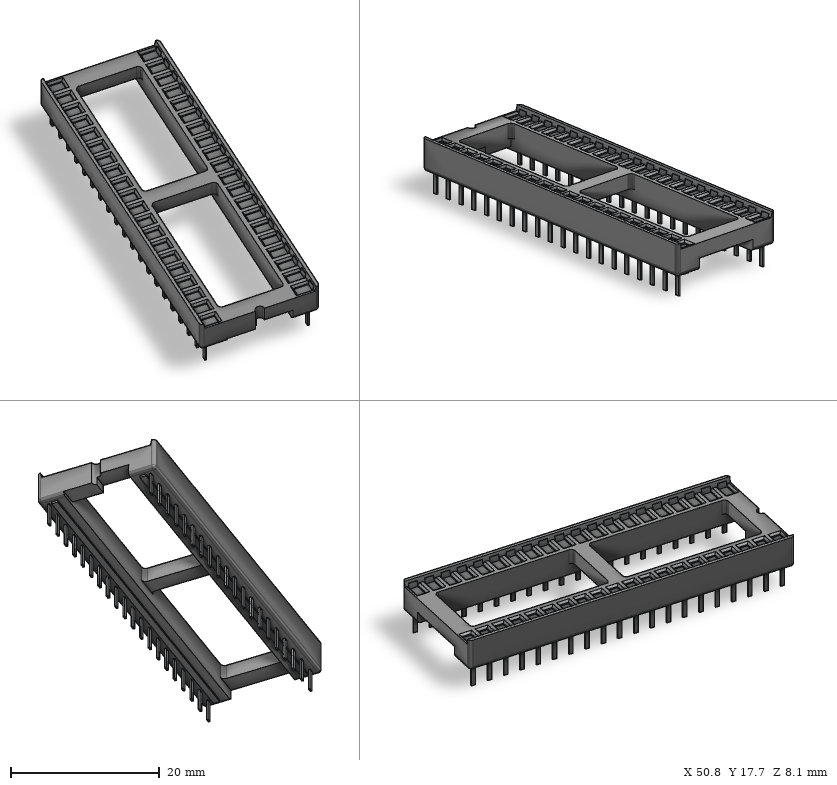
import cadquery as cq

LENGTH = 50.8
WIDTH = 17.7
BODY_HEIGHT = 4.8
EDGE_RADIUS = 0.5

RAIL_HEIGHT = 0.8
RAIL_TOP_THICKNESS = 0.5
RAIL_FOOT_THICKNESS = 0.7
DECK_Z = BODY_HEIGHT - RAIL_HEIGHT
RAIL_TOP_Y = WIDTH / 2 - RAIL_TOP_THICKNESS
RAIL_FOOT_Y = WIDTH / 2 - RAIL_FOOT_THICKNESS

CENTER_BAR_WIDTH = 2.35
END_BAR_WIDTH = 2.65
WINDOW_WIDTH = 9.7
WINDOW_RADIUS = 0.6
WINDOW_LENGTH = (LENGTH - CENTER_BAR_WIDTH) / 2 - END_BAR_WIDTH

CHANNEL_HEIGHT = 1.75
STEP_BOTTOM_Z = 0.5
STEP_INNER_Y = -0.2

NOTCH_RADIUS = 0.65

EMBED = 0.5

PINS_PER_ROW = 20
PITCH = 2.55
ROW_SPACING = 15.25
PIN_WIDTH = 0.6
PIN_THICKNESS = 0.25
PIN_LENGTH = 3.3

POCKET_WIDTH = 2.0
POCKET_DEPTH = 0.5
POCKET_BEVEL = 0.3
POCKET_INNER_Y = 5.55

NICK_HEIGHT = 0.35
NICK_SETBACK = 0.075

RIDGE_LENGTH = 49.15
RIDGE_WIDTH = 0.9
RIDGE_HEIGHT = 0.3
RIDGE_Y = 6.6

SIDES = (-1, 1)
PIN_XS = [(i - (PINS_PER_ROW - 1) / 2) * PITCH for i in range(PINS_PER_ROW)]


def box(x_range, y_range, z_range):
    """Axis-aligned box spanning the given (start, end) ranges."""
    sizes = [end - start for start, end in (x_range, y_range, z_range)]
    corner = (x_range[0], y_range[0], z_range[0])
    return cq.Workplane("XY").box(*sizes, centered=False).translate(corner)


def rail_face_y(z):
    """Distance from the centre plane to the sloping inner rail face (or its extension) at height z."""
    return RAIL_FOOT_Y + (RAIL_TOP_Y - RAIL_FOOT_Y) * (z - DECK_Z) / RAIL_HEIGHT


def make_body():
    """Rounded block with the deck sunk between two rails with sloping inner faces."""
    block = cq.Workplane("XY").box(LENGTH, WIDTH, BODY_HEIGHT, centered=(True, True, False))
    block = block.edges("|Z").fillet(EDGE_RADIUS)
    block = block.faces("<Z").edges().fillet(EDGE_RADIUS)
    trough = (
        cq.Workplane("YZ")
        .polyline(
            [
                (-RAIL_FOOT_Y, DECK_Z),
                (RAIL_FOOT_Y, DECK_Z),
                (RAIL_TOP_Y, BODY_HEIGHT),
                (-RAIL_TOP_Y, BODY_HEIGHT),
            ]
        )
        .close()
        .extrude(LENGTH / 2, both=True)
    )
    return block.cut(trough)


def make_windows():
    """Two rounded rectangular openings through the full height."""
    center_x = (CENTER_BAR_WIDTH + WINDOW_LENGTH) / 2
    return (
        cq.Workplane("XY")
        .pushPoints([(side * center_x, 0) for side in SIDES])
        .rect(WINDOW_LENGTH, WINDOW_WIDTH)
        .extrude(BODY_HEIGHT)
        .edges("|Z")
        .fillet(WINDOW_RADIUS)
    )


def make_channel():
    """Lengthwise channel below the bars, less the step left at the +X end."""
    half_length = LENGTH / 2
    half_width = WINDOW_WIDTH / 2
    channel = box((-half_length, half_length), (-half_width, half_width), (0, CHANNEL_HEIGHT))
    step = box(
        (half_length - END_BAR_WIDTH, half_length),
        (-half_width, STEP_INNER_Y),
        (STEP_BOTTOM_Z, CHANNEL_HEIGHT),
    )
    return channel.cut(step)


def make_pocket(x, side):
    """Well that nicks the rail foot, with a bevelled mouth on its other three sides."""
    mouth_length = RAIL_FOOT_Y - POCKET_INNER_Y
    well_width = POCKET_WIDTH - 2 * POCKET_BEVEL
    well_inner_y = POCKET_INNER_Y + POCKET_BEVEL
    mouth = (
        cq.Workplane("XY", origin=(x, side * (POCKET_INNER_Y + mouth_length / 2), DECK_Z))
        .rect(POCKET_WIDTH, mouth_length)
        .workplane(offset=-POCKET_BEVEL)
        .center(0, side * POCKET_BEVEL / 2)
        .rect(well_width, mouth_length - POCKET_BEVEL)
        .loft(ruled=True)
    )
    floor_z = DECK_Z - POCKET_DEPTH
    nick_z = DECK_Z + NICK_HEIGHT
    well = (
        cq.Workplane("YZ", origin=(x, 0, 0))
        .polyline(
            [
                (side * well_inner_y, floor_z),
                (side * (rail_face_y(floor_z) + NICK_SETBACK), floor_z),
                (side * (rail_face_y(nick_z) + NICK_SETBACK), nick_z),
                (side * well_inner_y, nick_z),
            ]
        )
        .close()
        .extrude(well_width / 2, both=True)
    )
    return mouth.union(well)


def make_pin(x, side):
    """Flat contact leg, with its top end embedded in the body."""
    height = PIN_LENGTH + EMBED
    pin = cq.Workplane("XY").box(PIN_WIDTH, PIN_THICKNESS, height, centered=(True, True, False))
    return pin.translate((x, side * ROW_SPACING / 2, -PIN_LENGTH))


def make_ridge(side):
    """Standoff ridge along one contact row."""
    half_length = RIDGE_LENGTH / 2
    half_width = RIDGE_WIDTH / 2
    center_y = side * RIDGE_Y
    y_range = (center_y - half_width, center_y + half_width)
    return box((-half_length, half_length), y_range, (-RIDGE_HEIGHT, EMBED))


notch = cq.Workplane("XY").center(LENGTH / 2, 0).circle(NOTCH_RADIUS).extrude(BODY_HEIGHT)
result = make_body().cut(make_windows()).cut(make_channel()).cut(notch)

stations = [(x, side) for side in SIDES for x in PIN_XS]
pockets = [make_pocket(x, side).val() for x, side in stations]
pins = [make_pin(x, side).val() for x, side in stations]
ridges = [make_ridge(side).val() for side in SIDES]

result = result.cut(cq.Workplane(cq.Compound.makeCompound(pockets)))
result = cq.Workplane(result.val().fuse(*ridges, *pins))